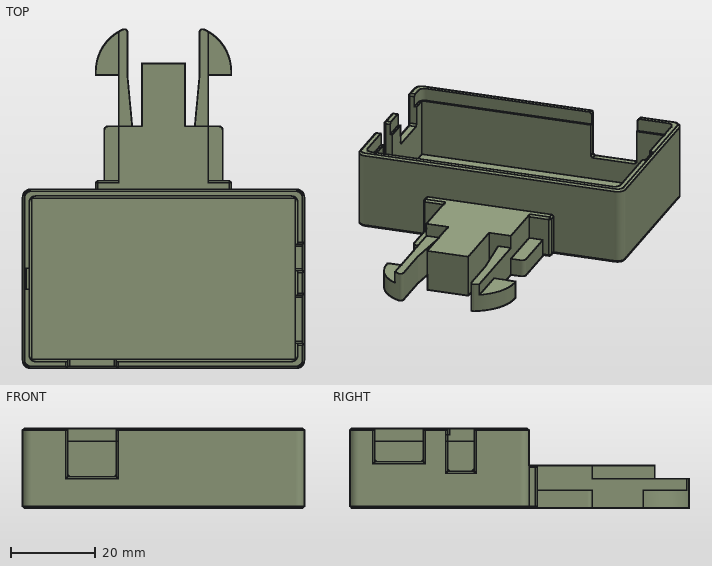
import cadquery as cq
import math

case_width = 66.8
case_depth = 42.4
case_height = 18.9
corner_radius = 2.0
edge_chamfer = 0.5
floor_thickness = 2.0
wall_thickness = 2.2

rim_thickness = 1.6
rebate_depth = 3.05
rebate_corner_radius = 1.5
ledge_height = case_height - rebate_depth
pry_slot_width = 5.0
pry_slot_depth = 0.7
pry_slot_height = 1.5

front_notch_left = -22.7
front_notch_right = -11.2
front_notch_bottom = 7.4

back_notch_start = 23.15
back_notch_end = 29.4
back_notch_bottom = 8.8
long_notch_start = 5.95
long_notch_end = 17.4
long_notch_bottom = 10.9

overall_length = 80.4
connector_height = 10.1
flange_half_width = 16.1
core_half_width = 10.6
tongue_half_width = 5.15
wing_half_width = 14.1
wing_height = 4.2
wing_corner_radius = 1.05
root = case_depth - wall_thickness / 2
flange_end = case_depth + 2.0
core_end = case_depth + 14.95
tongue_end = case_depth + 29.8
connector_end = overall_length

arm_height = 7.0
arm_root_inner = 7.4
arm_tip_inner = 8.5
tip_radius = 0.7
hook_start = case_depth + 27.0
hook_radius = 10.9


def block(x_min, x_max, y_min, y_max, z_min, z_max):
    """Axis-aligned box between the given limits."""
    return cq.Workplane("XY").box(
        x_max - x_min, y_max - y_min, z_max - z_min, centered=False
    ).translate((x_min, y_min, z_min))


def make_case():
    """Rounded tray with chamfered outer edges and a rebated rim."""
    half_width = case_width / 2
    body = block(-half_width, half_width, 0, case_depth, 0, case_height)
    body = body.edges("|Z").fillet(corner_radius)
    body = body.faces("<Z or >Z").edges().chamfer(edge_chamfer)

    cavity_half_width = half_width - wall_thickness
    cavity = block(
        -cavity_half_width, cavity_half_width,
        wall_thickness, case_depth - wall_thickness,
        floor_thickness, case_height,
    )

    rebate_half_width = half_width - rim_thickness
    rebate = block(
        -rebate_half_width, rebate_half_width,
        rim_thickness, case_depth - rim_thickness,
        ledge_height, case_height,
    ).edges("|Z").fillet(rebate_corner_radius)

    slot_y = (case_depth - pry_slot_width) / 2
    pry_slot = block(
        -rebate_half_width - pry_slot_depth, 0,
        slot_y, slot_y + pry_slot_width,
        case_height - pry_slot_height, case_height,
    )
    return body.cut(cavity).cut(rebate).cut(pry_slot)


def notch_cutter(outer_face, start, end, bottom):
    """Notch through a wall from its rim down, flared along its outer edges.

    outer_face is a workplane on the wall's outer face, normal pointing out,
    with local x along the wall and local y equal to z. Chamfers cut across
    the notch's two bottom corners and break its two rim corners.
    """
    opening = (
        outer_face
        .moveTo(start - edge_chamfer, case_height)
        .lineTo(start, case_height - edge_chamfer)
        .lineTo(start, bottom + edge_chamfer)
        .lineTo(start + edge_chamfer, bottom)
        .lineTo(end - edge_chamfer, bottom)
        .lineTo(end, bottom + edge_chamfer)
        .lineTo(end, case_height - edge_chamfer)
        .lineTo(end + edge_chamfer, case_height)
        .close()
        .extrude(-wall_thickness)
    )
    width = end - start
    height = case_height - bottom
    flare = (
        outer_face
        .center((start + end) / 2, (bottom + case_height) / 2)
        .rect(width + 2 * edge_chamfer, height + 2 * edge_chamfer)
        .workplane(offset=-edge_chamfer)
        .rect(width, height)
        .loft(ruled=True)
    )
    return opening.union(flare)


def make_arm():
    """Snap arm on the +X side: a tapered beam with a rounded hook at its tip."""
    arc_x = flange_half_width - hook_radius
    fillet_x = arm_tip_inner + tip_radius
    centre_distance = hook_radius - tip_radius
    fillet_y = connector_end - tip_radius
    arc_y = fillet_y - math.sqrt(centre_distance**2 - (fillet_x - arc_x)**2)

    tangent_angle = math.atan2(fillet_y - arc_y, fillet_x - arc_x)
    tangent_point = (
        arc_x + hook_radius * math.cos(tangent_angle),
        arc_y + hook_radius * math.sin(tangent_angle),
    )
    arc_middle = (
        arc_x + hook_radius * math.cos(tangent_angle / 2),
        arc_y + hook_radius * math.sin(tangent_angle / 2),
    )
    outline = (
        cq.Workplane("XY")
        .moveTo(core_half_width, core_end)
        .lineTo(core_half_width, hook_start)
        .lineTo(flange_half_width, hook_start)
        .lineTo(flange_half_width, arc_y)
        .threePointArc(arc_middle, tangent_point)
        .threePointArc((fillet_x, connector_end), (arm_tip_inner, fillet_y))
        .lineTo(arm_tip_inner, hook_start)
        .lineTo(arm_root_inner, core_end)
        .close()
    )
    arm = outline.extrude(arm_height)
    above_hook = block(
        core_half_width, flange_half_width, core_end, connector_end, wing_height, arm_height
    )
    return arm.cut(above_hook)


def make_connector():
    """Flange, core, tongue and wings, with a snap arm on each side."""
    flange = block(
        -flange_half_width, flange_half_width, root, flange_end, 0, connector_height
    ).edges("not <Y").chamfer(edge_chamfer)
    core = block(-core_half_width, core_half_width, root, core_end, 0, connector_height)
    tongue = block(-tongue_half_width, tongue_half_width, root, tongue_end, 0, connector_height)
    wings = block(
        -wing_half_width, wing_half_width, root, core_end, 0, wing_height
    ).edges("|Z and >Y").fillet(wing_corner_radius)
    arm = make_arm()
    connector = flange.union(core).union(tongue).union(wings)
    return connector.union(arm).union(arm.mirror("YZ"))


front_wall = cq.Workplane("XZ")
right_wall = cq.Workplane("YZ", origin=(case_width / 2, 0, 0))

notches = (
    (front_wall, front_notch_left, front_notch_right, front_notch_bottom),
    (right_wall, back_notch_start, back_notch_end, back_notch_bottom),
    (right_wall, long_notch_start, long_notch_end, long_notch_bottom),
)
case = make_case()
for wall, start, end, bottom in notches:
    case = case.cut(notch_cutter(wall, start, end, bottom))

result = case.union(make_connector())